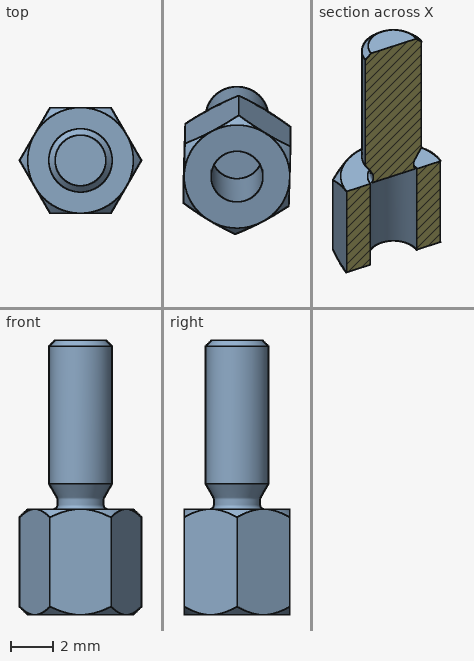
import cadquery as cq
import math

across_flats = 5.0
body_height = 5.0
across_corners = across_flats / math.cos(math.radians(30))
flat_radius = across_flats / 2
corner_radius = across_corners / 2
corner_chamfer = corner_radius - flat_radius

bore_diameter = 2.46

total_height = 13.0
stud_radius = 3.0 / 2
tip_chamfer = 0.3
neck_radius = 2.2 / 2
undercut_length = 1.2
undercut_fillet = 0.2
undercut_angle = 30.0


def hex_body():
    """Hexagonal prism whose corners are turned down by cones at both ends."""
    prism = cq.Workplane("XY").polygon(6, across_corners).extrude(body_height)
    turned_blank = (
        cq.Workplane("XY")
        .circle(corner_radius)
        .extrude(body_height)
        .faces("<Z or >Z")
        .chamfer(corner_chamfer)
    )
    return prism.intersect(turned_blank)


def stud():
    """Revolved stud: filleted neck, undercut cone, shank and chamfered tip."""
    slope = math.radians(undercut_angle)
    cone_top = body_height + undercut_length
    cone_bottom = cone_top - (stud_radius - neck_radius) / math.tan(slope)

    arc_start = cone_bottom - undercut_fillet * math.tan(slope / 2)
    arc_center = neck_radius + undercut_fillet

    def cone_arc_point(angle):
        return (
            arc_center - undercut_fillet * math.cos(angle),
            arc_start + undercut_fillet * math.sin(angle),
        )

    base_arc_top = body_height + undercut_fillet
    base_arc_middle = (
        arc_center - undercut_fillet * math.cos(math.radians(45)),
        base_arc_top - undercut_fillet * math.sin(math.radians(45)),
    )

    root_height = body_height / 2
    profile = (
        cq.Workplane("XZ")
        .moveTo(0, root_height)
        .lineTo(arc_center, root_height)
        .lineTo(arc_center, body_height)
        .threePointArc(base_arc_middle, (neck_radius, base_arc_top))
        .lineTo(neck_radius, arc_start)
        .threePointArc(cone_arc_point(slope / 2), cone_arc_point(slope))
        .lineTo(stud_radius, cone_top)
        .lineTo(stud_radius, total_height - tip_chamfer)
        .lineTo(stud_radius - tip_chamfer, total_height)
        .lineTo(0, total_height)
        .close()
    )
    return profile.revolve(360, (0, 0, 0), (0, 1, 0))


def bore():
    """Cylinder that hollows the body from the bottom up to the foot of the stud."""
    return cq.Workplane("XY").circle(bore_diameter / 2).extrude(body_height)


result = hex_body().union(stud()).cut(bore())